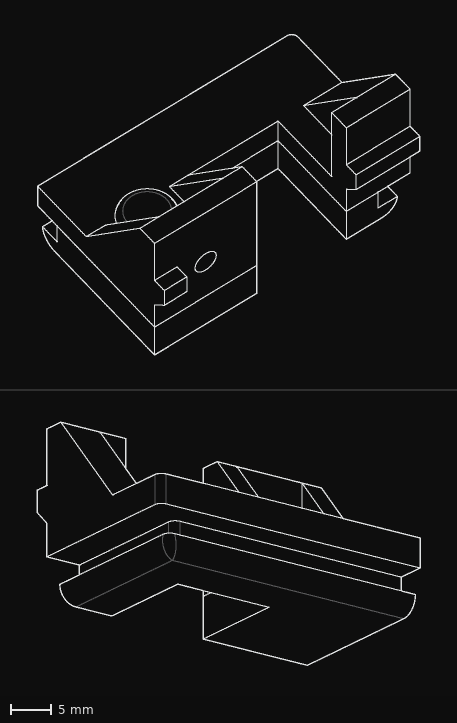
import cadquery as cq

length = 40.0
depth = 24.0
spine_width = 10.0
back_arm_width = 10.0
front_arm_width = 16.0
corner_radius = 1.0

lip_height = 2.5
neck_height = 3.2
lip_inset_x = 1.0
lip_inset_y = 2.0
lip_overhang = 3.0

plate_height = 4.0
wall_height = 13.0
wall_thickness = 3.0
back_rib_width = 6.0
front_rib_width = 3.0
tooth_reach = 2.0
tooth_height = 5.0
tooth_bottom_offset = 0.5
front_tooth_width = 3.5
hole_diameter = 3.3
hole_rise = 3.0

button_radius = 4.0
button_height = 1.0
button_round = 0.95
button_x = 12.0

plate_bottom = lip_height + neck_height
plate_top = plate_bottom + plate_height
wall_top = plate_top + wall_height
wall_x = depth - wall_thickness
back_arm_y = length - back_arm_width
front_arm_middle = front_arm_width / 2


def box(x_range, y_range, z_range):
    """Box spanning the given (low, high) ranges."""
    (x0, x1), (y0, y1), (z0, z1) = x_range, y_range, z_range
    return cq.Workplane("XY").box(x1 - x0, y1 - y0, z1 - z0, centered=False).translate((x0, y0, z0))


def side_profile(points, y0, y1):
    """Prism with an XZ outline, reaching from y0 to y1."""
    return cq.Workplane("XZ", origin=(0, y0, 0)).polyline(points).close().extrude(y0 - y1)


def rounded_slab(inset_x, inset_y, z0, z1):
    """Slab with its -X and +Y sides set in and the corner between them rounded."""
    slab = box((inset_x, depth), (0, length - inset_y), (z0, z1))
    return slab.edges("|Z and <X and >Y").fillet(corner_radius)


def arm_gap(z0, z1):
    """Space between the two arms."""
    return box((spine_width, depth), (front_arm_width, back_arm_y), (z0, z1))


def make_rail():
    slab = rounded_slab(lip_inset_x, lip_inset_y, 0, plate_bottom)
    slab = slab.faces("<Z").edges("<X").fillet(lip_height)
    lip = slab.cut(box((0, depth), (0, length), (lip_height, plate_bottom)))
    neck = rounded_slab(
        lip_inset_x + lip_overhang, lip_inset_y + lip_overhang, lip_height, plate_bottom
    )
    return lip.union(neck).cut(arm_gap(0, plate_bottom))


def make_rib(y0, y1):
    """Rib rising from the spine to the top of the wall."""
    outline = [(spine_width, plate_top), (wall_x, plate_top), (wall_x, wall_top)]
    return side_profile(outline, y0, y1)


def make_tooth(y0, y1):
    """Tooth on the +X side of a wall, sloped underneath at 45 degrees."""
    bottom = plate_top + tooth_bottom_offset
    top = bottom + tooth_height
    tip = depth + tooth_reach
    outline = [(depth, bottom), (tip, bottom + tooth_reach), (tip, top), (depth, top)]
    return side_profile(outline, y0, y1)


def make_bracket():
    bracket = rounded_slab(0, 0, plate_bottom, plate_top).cut(arm_gap(plate_bottom, plate_top))
    for y0, y1 in [(0, front_arm_width), (back_arm_y, length)]:
        bracket = bracket.union(box((wall_x, depth), (y0, y1), (plate_top, wall_top)))

    rib_spans = [
        (0, front_rib_width),
        (front_arm_width - front_rib_width, front_arm_width),
        (length - back_rib_width, length),
    ]
    for y0, y1 in rib_spans:
        bracket = bracket.union(make_rib(y0, y1))

    for y0, y1 in [(0, front_tooth_width), (back_arm_y, length)]:
        bracket = bracket.union(make_tooth(y0, y1))

    hole = (
        cq.Workplane("YZ", origin=(wall_x, front_arm_middle, plate_top + hole_rise))
        .circle(hole_diameter / 2)
        .extrude(wall_thickness)
    )
    return bracket.cut(hole)


def make_button():
    disc = cq.Workplane("XY", origin=(button_x, front_arm_middle, plate_top))
    return disc.circle(button_radius).extrude(button_height).faces(">Z").edges().fillet(button_round)


rail = make_rail()
bracket = make_bracket()
button = make_button()

result = cq.Compound.makeCompound([rail.val(), bracket.val(), button.val()])